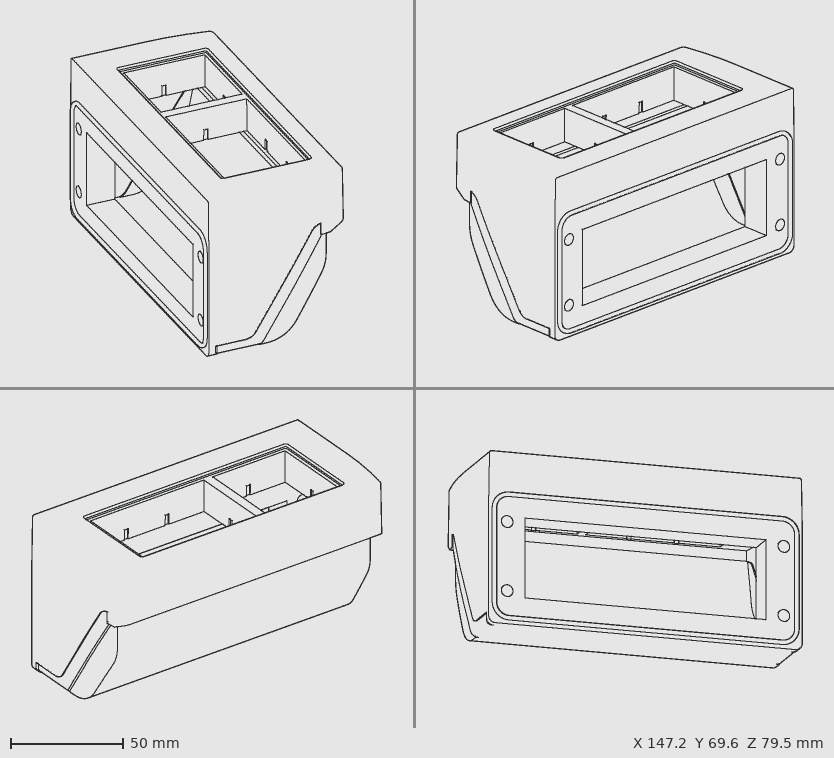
import cadquery as cq
import math

WIDTH = 147.2
DEPTH = 68.3
HEIGHT = 79.5
HALF_WIDTH = WIDTH / 2
SIDE_STRAIGHT = 36.5
SIDE_BOW_RADIUS = 153.1
BACK_CORNER_RADIUS = 3.0
WALL = 4.7

HEAD_BASE_Z = 55.8
HEAD_DRAFT = 1.0
HEAD_EDGE_ROUND = 1.0
OVERHANG_BACK_Z = 53.7
OVERHANG_Z = 49.6
OVERHANG_Y = 60.5

DUCT_BACK = 59.5
DUCT_BEND_RADIUS = 17.7
DUCT_INSET = 2.4
DUCT_BOW_END = 55.6
SLOPE = 1.6
DUCT_SLOPE_FOOT = 39.2
BAND_SLOPE_FOOT = 25.5
BOTTOM_ROUND = 3.1

RECESS_DEPTH = 0.6
RECESS_TOP_Z = 55.4
RECESS_BOTTOM_Z = 5.5
RECESS_FRONT = 3.2
RECESS_BACK = DUCT_BOW_END
RECESS_RAMP = 1.0
RECESS_SLOPE_FOOT = 18.0
RECESS_BEND_RADIUS = 6.2

FLOOR = 5.7
CAVITY_FRONT = 13.8
CAVITY_TOP = 61.2
CAVITY_BACK = 59.3
LEDGE_Z = HEAD_BASE_Z
LEDGE_Y = 57.3
KINK = (54.2, 39.7)
CAVITY_BEND = (53.1, 32.8)
CAVITY_UPPER_BEND_RADIUS = 16.2
CAVITY_LOWER_BEND_RADIUS = 14.5
CAVITY_STEP_SHIFT = 1.9

MOUTH_WIDTH = 113.0
MOUTH_BOTTOM = 12.7
MOUTH_TOP = 49.6
SCREW_DIAMETER = 5.5
SCREW_X = 64.9
SCREW_Z = (15.3, 47.3)

WINDOW_WIDTH = 112.2
WINDOW_FRONT = 14.1
WINDOW_BACK = 58.9
WINDOW_DEPTH = 1.8
WINDOW_CORNER_RADIUS = 0.6
WINDOW_BEVEL = 0.9
BAY_FRONT = 16.8
BAY_BACK = 56.5
BAY_HALF_SPAN = 53.5
DIVIDER_LEFT = -13.7
DIVIDER_RIGHT = -8.8
BAY_RIM = 1.2
BAY_DRAFT = 1.5
NOTCH_WIDTH = 2.0
NOTCH_HEIGHT = 5.3
NOTCH_DEPTH = 0.6
NOTCH_SPREAD = 11.2
BAYS = (
    (-BAY_HALF_SPAN, DIVIDER_LEFT, (0,)),
    (DIVIDER_RIGHT, BAY_HALF_SPAN, (-NOTCH_SPREAD, NOTCH_SPREAD)),
)

GASKET_RADIUS = 1.0
GASKET_HEIGHT = 1.3
GASKET_HALF_WIDTH = 72.0
GASKET_BOTTOM = 1.8
GASKET_TOP = 61.0
GASKET_CORNER_RADIUS = 7.8

REACH = 294.5
MARGIN = 1.5


def bow_x(y, inset):
    """X of the curved side at the given Y."""
    radius = SIDE_BOW_RADIUS - inset
    centre_x = HALF_WIDTH - SIDE_BOW_RADIUS
    return centre_x + math.sqrt(radius**2 - (y - SIDE_STRAIGHT) ** 2)


def plan(front, back, inset, bottom, top):
    """Prism on the housing's plan outline, inset from the outer sides."""
    middle_y = (SIDE_STRAIGHT + back) / 2
    side_x = HALF_WIDTH - inset
    return (
        cq.Workplane("XY")
        .workplane(offset=bottom)
        .moveTo(-side_x, front)
        .lineTo(side_x, front)
        .lineTo(side_x, SIDE_STRAIGHT)
        .threePointArc((bow_x(middle_y, inset), middle_y), (bow_x(back, inset), back))
        .lineTo(-bow_x(back, inset), back)
        .threePointArc((-bow_x(middle_y, inset), middle_y), (-side_x, SIDE_STRAIGHT))
        .close()
        .extrude(top - bottom)
    )


def rounded_plan(front, bottom, top):
    """Full-size plan prism with rounded back corners."""
    return plan(front, DEPTH, 0, bottom, top).edges("|Z and >Y").fillet(BACK_CORNER_RADIUS)


def side_prism(points):
    """Prism across the full width on a (Y, Z) outline."""
    return cq.Workplane("YZ").polyline(points).close().extrude(REACH, both=True)


def slope_y(foot, z):
    """Y at height z on a slope that starts at the given foot."""
    return foot + z / SLOPE


def round_ridges(prism, corners, radius):
    """Round the X-parallel edges that pass through the given (Y, Z) corners."""
    for y, z in corners:
        prism = prism.edges(cq.selectors.NearestToPointSelector((0, y, z))).fillet(radius)
    return prism


def above_recess(shift=0.0):
    """Region in front of and above the stepped line that bounds the side recess."""
    upper = (slope_y(RECESS_SLOPE_FOOT, RECESS_TOP_Z) + shift, RECESS_TOP_Z)
    lower = (slope_y(RECESS_SLOPE_FOOT, RECESS_BOTTOM_Z) + shift, RECESS_BOTTOM_Z)
    region = side_prism([
        (-MARGIN, HEIGHT),
        (REACH, HEIGHT),
        (REACH, RECESS_TOP_Z),
        upper,
        lower,
        (RECESS_FRONT, RECESS_BOTTOM_Z),
        (RECESS_FRONT, -MARGIN),
        (-MARGIN, -MARGIN),
    ])
    return round_ridges(region, (upper, lower), RECESS_BEND_RADIUS)


def make_head():
    """Drafted upper part, with its outer top edges rounded; the mounting face stays upright."""
    base = rounded_plan(-MARGIN, HEAD_BASE_Z, HEIGHT).faces("<Z").wires().toPending()
    head = base.extrude(HEIGHT - HEAD_BASE_Z, taper=HEAD_DRAFT, combine=False)
    front = cq.Workplane("XY").box(REACH, REACH, REACH).translate((0, -REACH / 2, 0))
    head = head.cut(front)
    return head.faces(">Z").edges("not <Y").fillet(HEAD_EDGE_ROUND)


def make_collar():
    """Full-width zone in front of the recess, and the overhang at the back of the head."""
    block = rounded_plan(0, 0, HEAD_BASE_Z)
    rounded = block.edges("<Z and |Y").fillet(BOTTOM_ROUND)
    front_zone = rounded.intersect(above_recess())
    ramps = (
        cq.Workplane("XY")
        .polyline([
            (-HALF_WIDTH, RECESS_FRONT),
            (HALF_WIDTH, RECESS_FRONT),
            (HALF_WIDTH - RECESS_DEPTH, RECESS_FRONT + RECESS_RAMP),
            (-HALF_WIDTH + RECESS_DEPTH, RECESS_FRONT + RECESS_RAMP),
        ])
        .close()
        .extrude(RECESS_BOTTOM_Z)
    )
    front_zone = front_zone.union(rounded.intersect(ramps))
    overhang = block.intersect(side_prism([
        (RECESS_BACK, HEAD_BASE_Z),
        (RECESS_BACK, OVERHANG_Z),
        (OVERHANG_Y, OVERHANG_Z),
        (DEPTH, OVERHANG_BACK_Z),
        (DEPTH, HEAD_BASE_Z),
    ]))
    return front_zone.union(overhang)


def make_band():
    """Recessed sides between the stepped line and the duct, with rounded bottom edges."""
    block = plan(0, OVERHANG_Y, RECESS_DEPTH, 0, HEAD_BASE_Z)
    ahead_of_duct = side_prism([
        (-MARGIN, 0),
        (BAND_SLOPE_FOOT, 0),
        (slope_y(BAND_SLOPE_FOOT, HEAD_BASE_Z), HEAD_BASE_Z),
        (-MARGIN, HEAD_BASE_Z),
    ])
    return block.edges("<Z and |Y").fillet(BOTTOM_ROUND).intersect(ahead_of_duct)


def make_duct():
    """Sloping lower back, behind the band, with sharp lower side edges."""
    tail_x = bow_x(DUCT_BOW_END, DUCT_INSET)
    back_x = bow_x(DUCT_BACK, DUCT_INSET)
    tail = (
        cq.Workplane("XY")
        .polyline([
            (-tail_x, DUCT_BOW_END),
            (tail_x, DUCT_BOW_END),
            (back_x, DUCT_BACK),
            (-back_x, DUCT_BACK),
        ])
        .close()
        .extrude(HEAD_BASE_Z)
    )
    block = plan(0, DUCT_BOW_END, DUCT_INSET, 0, HEAD_BASE_Z).union(tail)
    knee = (DUCT_BACK, (DUCT_BACK - DUCT_SLOPE_FOOT) * SLOPE)
    heel = (DUCT_SLOPE_FOOT, 0)
    profile = side_prism([
        (BAND_SLOPE_FOOT, 0),
        heel,
        knee,
        (DUCT_BACK, HEAD_BASE_Z),
        (slope_y(BAND_SLOPE_FOOT, HEAD_BASE_Z), HEAD_BASE_Z),
    ])
    return block.intersect(round_ridges(profile, (knee, heel), DUCT_BEND_RADIUS))


def make_cavity():
    """Inner space from the mouth, round the bend and up to the bays."""
    heel_y = CAVITY_BEND[0] - (CAVITY_BEND[1] - FLOOR) / SLOPE
    profile = side_prism([
        (CAVITY_FRONT, FLOOR),
        (heel_y, FLOOR),
        CAVITY_BEND,
        KINK,
        (LEDGE_Y, LEDGE_Z),
        (CAVITY_BACK, LEDGE_Z),
        (CAVITY_BACK, CAVITY_TOP),
        (CAVITY_FRONT, CAVITY_TOP),
    ])
    profile = round_ridges(profile, (CAVITY_BEND,), CAVITY_UPPER_BEND_RADIUS)
    profile = round_ridges(profile, ((heel_y, FLOOR),), CAVITY_LOWER_BEND_RADIUS)
    narrow = plan(0, DEPTH, WALL + RECESS_DEPTH, 0, HEIGHT)
    wide = plan(0, DEPTH, WALL, 0, HEIGHT).intersect(above_recess(CAVITY_STEP_SHIFT))
    return profile.intersect(narrow.union(wide))


def make_mouth():
    """Rectangular opening and four screw holes through the front wall."""
    mouth = cq.Workplane("XY").box(
        MOUTH_WIDTH, CAVITY_FRONT, MOUTH_TOP - MOUTH_BOTTOM, centered=(True, False, False)
    ).translate((0, 0, MOUTH_BOTTOM))
    for x in (-SCREW_X, SCREW_X):
        for z in SCREW_Z:
            hole = cq.Workplane("XZ").center(x, z).circle(SCREW_DIAMETER / 2).extrude(-CAVITY_FRONT)
            mouth = mouth.union(hole)
    return mouth


def cut_window(housing):
    """Shallow recess in the top, with a bevelled rim."""
    length = WINDOW_BACK - WINDOW_FRONT
    middle_y = (WINDOW_FRONT + WINDOW_BACK) / 2
    recess = (
        cq.Workplane("XY")
        .workplane(offset=HEIGHT)
        .center(0, middle_y)
        .rect(WINDOW_WIDTH - 2 * WINDOW_BEVEL, length - 2 * WINDOW_BEVEL)
        .extrude(-WINDOW_DEPTH)
        .edges("|Z").fillet(WINDOW_CORNER_RADIUS)
    )
    rim = cq.selectors.BoxSelector(
        (-WINDOW_WIDTH / 2, WINDOW_FRONT, HEIGHT - WINDOW_BEVEL / 2),
        (WINDOW_WIDTH / 2, WINDOW_BACK, HEIGHT + WINDOW_BEVEL / 2),
    )
    return housing.cut(recess).edges(rim).chamfer(WINDOW_BEVEL)


def make_notch(size_x, size_y):
    """Bar across a bay that leaves a notch at the foot of two facing walls."""
    return cq.Workplane("XY").workplane(offset=CAVITY_TOP).rect(size_x, size_y).extrude(NOTCH_HEIGHT)


def make_bay(left, right, notch_offsets):
    """One opening through the top, widening downwards, with notches at the foot of its walls."""
    width = right - left
    length = BAY_BACK - BAY_FRONT
    rim_top = HEIGHT - WINDOW_DEPTH
    rim_bottom = rim_top - BAY_RIM
    spread = (rim_bottom - CAVITY_TOP) * math.tan(math.radians(BAY_DRAFT))
    foot_width = width + 2 * spread
    foot_length = length + 2 * spread
    rim = cq.Workplane("XY").workplane(offset=rim_top).rect(width, length).extrude(-BAY_RIM)
    throat = (
        cq.Workplane("XY")
        .workplane(offset=rim_bottom)
        .rect(width, length)
        .workplane(offset=CAVITY_TOP - rim_bottom)
        .rect(foot_width, foot_length)
        .loft(ruled=True)
    )
    bay = rim.union(throat).union(make_notch(foot_width + 2 * NOTCH_DEPTH, NOTCH_WIDTH))
    for offset in notch_offsets:
        notch = make_notch(NOTCH_WIDTH, foot_length + 2 * NOTCH_DEPTH)
        bay = bay.union(notch.translate((offset, 0, 0)))
    return bay.translate(((left + right) / 2, (BAY_FRONT + BAY_BACK) / 2, 0))


def make_housing():
    housing = make_head().union(make_collar()).union(make_band()).union(make_duct())
    housing = cut_window(housing)
    housing = housing.cut(make_cavity()).cut(make_mouth())
    for left, right, notch_offsets in BAYS:
        housing = housing.cut(make_bay(left, right, notch_offsets))
    return housing


def make_gasket():
    """Round sealing cord on the mounting face, flattened where it lies on it."""
    cord_y = GASKET_RADIUS - GASKET_HEIGHT
    middle_z = (GASKET_TOP + GASKET_BOTTOM) / 2
    loop = (
        cq.Workplane("XZ", origin=(0, cord_y, middle_z))
        .rect(2 * (GASKET_HALF_WIDTH - GASKET_RADIUS), GASKET_TOP - GASKET_BOTTOM - 2 * GASKET_RADIUS)
        .val()
    )
    path = loop.fillet2D(GASKET_CORNER_RADIUS - GASKET_RADIUS, loop.Vertices())
    cord = (
        cq.Workplane("YZ", origin=(0, cord_y, GASKET_TOP - GASKET_RADIUS))
        .circle(GASKET_RADIUS)
        .sweep(cq.Workplane(path))
    )
    behind_face = cq.Workplane("XY").box(REACH, REACH, REACH).translate((0, REACH / 2, 0))
    return cord.cut(behind_face)


housing = make_housing()
gasket = make_gasket()
result = cq.Compound.makeCompound([housing.val(), gasket.val()])